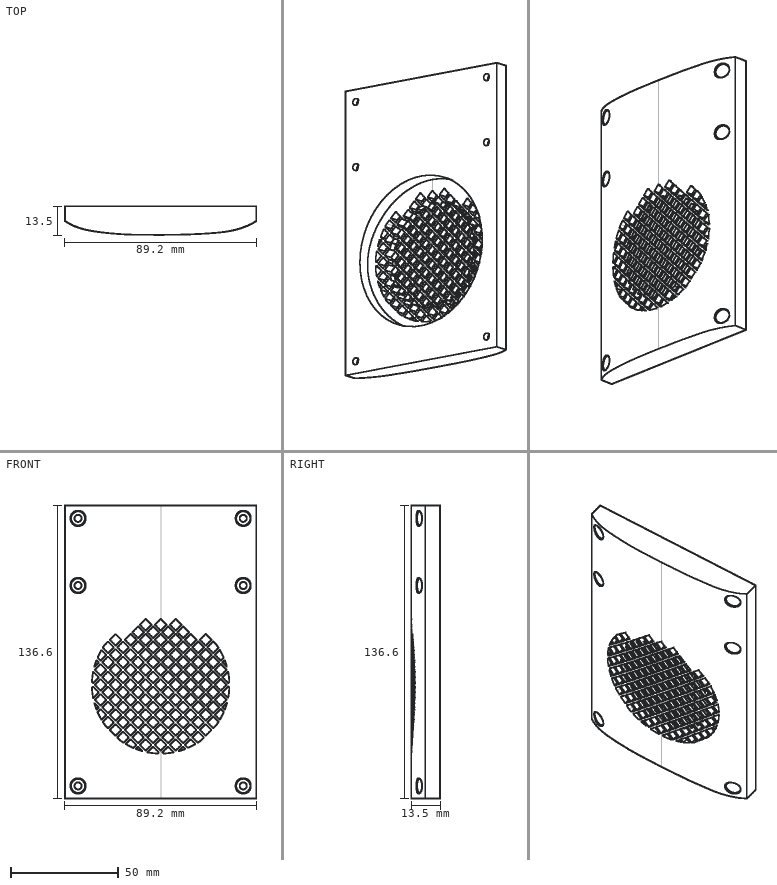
import cadquery as cq
import math

WIDTH = 89.2
HEIGHT = 136.6
THICKNESS = 13.5
EDGE_THICKNESS = 7.0
HALF_WIDTH = WIDTH / 2

CROWN_POINTS = [(25.0, 0.9), (36.0, 2.65)]
CROWN_EDGE_SLOPE = 0.7

GRILLE_Z = -15.3
GRILLE_RADIUS = 32.0
BAR_PITCH = 4.95
BAR_WIDTH = 1.2
OPENING = BAR_PITCH - BAR_WIDTH
HALF_DIAGONAL_PITCH = BAR_PITCH / math.sqrt(2)
OPENING_DIAGONAL = OPENING * math.sqrt(2)
GRILLE_ROWS = math.ceil(GRILLE_RADIUS / HALF_DIAGONAL_PITCH)
UPPER_ROW = 7
RIM_ALLOWANCE = 1.0

REAR_RECESS_RADIUS = 36.0
FRONT_WALL = 5.0
GRILLE_RECESS_RADIUS = 25.0
GRILLE_THICKNESS = 1.65

SCREW_DIAMETER = 3.2
HEAD_DIAMETER = 6.5
HEAD_CHAMFER = 0.4
SEAT_THICKNESS = 3.0
SCREW_X = 38.5
SCREW_ROWS_Z = [-62.4, 31.0, 62.3]


def crowned_plate():
    right = [(x, drop - THICKNESS) for x, drop in CROWN_POINTS]
    right.append((HALF_WIDTH, -EDGE_THICKNESS))
    left = [(-x, y) for x, y in reversed(right)]
    middle = (0, -THICKNESS)
    profile = (
        cq.Workplane("XY")
        .workplane(offset=-HEIGHT / 2)
        .moveTo(-HALF_WIDTH, 0)
        .lineTo(*left[0])
        .spline(left[1:] + [middle], tangents=[(1, -CROWN_EDGE_SLOPE), (1, 0)], includeCurrent=True)
        .spline(right, tangents=[(1, 0), (1, CROWN_EDGE_SLOPE)], includeCurrent=True)
        .lineTo(HALF_WIDTH, 0)
        .close()
    )
    return profile.extrude(HEIGHT)


def disc(radius, x, z, depth):
    """Cylinder standing on the back face and reaching depth toward the front."""
    return cq.Workplane("XZ").center(x, z).circle(radius).extrude(depth)


def is_open(column, row):
    """Tell whether the grille position at half-diagonal steps from the centre holds an opening."""
    if (column + row) % 2:
        return False
    corner = HALF_DIAGONAL_PITCH * math.hypot(column, row + 1)
    return row < UPPER_ROW or corner < GRILLE_RADIUS + RIM_ALLOWANCE


def grille_openings():
    steps = range(-GRILLE_ROWS, GRILLE_ROWS + 1)
    centres = [
        (HALF_DIAGONAL_PITCH * column, HALF_DIAGONAL_PITCH * row)
        for row in steps
        for column in steps
        if is_open(column, row)
    ]
    squares = (
        cq.Workplane("XZ")
        .center(0, GRILLE_Z)
        .pushPoints(centres)
        .polygon(4, OPENING_DIAGONAL)
        .extrude(THICKNESS)
    )
    return squares.intersect(disc(GRILLE_RADIUS, 0, GRILLE_Z, THICKNESS))


def recesses(plate):
    """Both recess steps; their floors follow the crown at a constant distance along Y."""
    rear = disc(REAR_RECESS_RADIUS, 0, GRILLE_Z, THICKNESS)
    front = disc(GRILLE_RECESS_RADIUS, 0, GRILLE_Z, THICKNESS)
    rear_recess = rear.intersect(plate.translate((0, FRONT_WALL, 0)))
    grille_recess = front.intersect(plate.translate((0, GRILLE_THICKNESS, 0)))
    return rear_recess.union(grille_recess)


def rim_region(x, z):
    """Selector for the edges of the crowned face around one screw head."""
    reach = HEAD_DIAMETER / 2 + HEAD_CHAMFER
    return cq.selectors.BoxSelector(
        (x - reach, -THICKNESS, z - reach), (x + reach, -EDGE_THICKNESS, z + reach)
    )


def cut_screw_hole(plate, x, z):
    head = disc(HEAD_DIAMETER / 2, x, z, THICKNESS).translate((0, -SEAT_THICKNESS, 0))
    counterbored = plate.cut(head)
    chamfered = counterbored.edges(rim_region(x, z)).edges("not %LINE").chamfer(HEAD_CHAMFER)
    return chamfered.cut(disc(SCREW_DIAMETER / 2, x, z, THICKNESS))


plate = crowned_plate()
result = plate
for screw_x in (-SCREW_X, SCREW_X):
    for screw_z in SCREW_ROWS_Z:
        result = cut_screw_hole(result, screw_x, screw_z)
result = result.cut(recesses(plate)).cut(grille_openings())